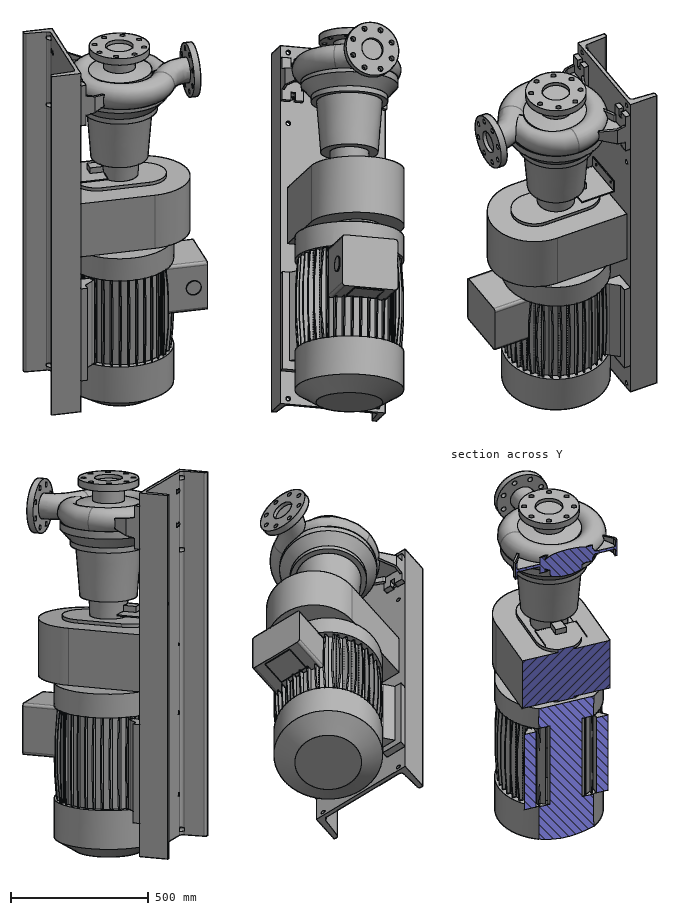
import cadquery as cq
import math

AXIS_Y = 200.0

TOTAL_LENGTH = 1395.0

CHANNEL_LENGTH = 1360.0
CHANNEL_WIDTH = 400.0
CHANNEL_HALF_WIDTH = CHANNEL_WIDTH / 2
CHANNEL_DEPTH = 110.0
WEB_THICKNESS = 14.0
FLANGE_TIP = 18.0
FLANGE_ROOT = 25.0
FLANGE_TIP_FILLET = 8.0
FLANGE_ROOT_FILLET = 14.0
ANCHOR_HOLE_X = 170.0
ANCHOR_HOLE_Z = (21.0, 1067.0, 1336.0)
ANCHOR_HOLE_DIAMETER = 17.0
MOUNT_HOLE_X = 158.0
SPARE_HOLE_X = 140.0
PUMP_HOLE_Z = (1165.0, 1290.0)
PUMP_HOLE_DIAMETER = 15.0
GUARD_HOLE_Z = 715.0
MOTOR_HOLE_Z = (155.0, 460.0)
MOTOR_HOLE_DIAMETER = 14.0
SMALL_HOLE_DIAMETER = 8.0

BOLT_HOLES = 8
BOLT_HOLE_DIAMETER = 18.0
SUCTION_THICKNESS = 27.0
DISCHARGE_THICKNESS = 25.0
BORE_DEPTH = 14.0
SUCTION_TOP = 1356.0
SUCTION_RADIUS = 110.0
SUCTION_BOLT_RADIUS = 90.0
SUCTION_BORE_RADIUS = 50.0
SUCTION_NECK_RADIUS = 59.0
DISCHARGE_Y = 480.0
DISCHARGE_RADIUS = 100.0
DISCHARGE_BOLT_RADIUS = 80.0
DISCHARGE_BORE_RADIUS = 40.0

VOLUTE_Z = 1228.0
TUBE_RADIUS = 47.0
TONGUE_RADIUS = 38.0
SPIRAL_RADIUS = 152.0
SPIRAL_SHIFT_X = 11.0
SPIRAL_SHIFT_Y = 5.0
SPIRAL_START_ANGLE = 180
SPIRAL_END_ANGLE = 360 + 59
TONGUE_CENTRE_RADIUS = 145.0
TONGUE_ANGLE = 70
COVER_NECK_Z = 1272.0
COVER_EDGE_Z = 1262.0
COVER_RADIUS = 119.0

RING_RADIUS = 177.0
RING_TOP = 1195.0
RING_BOTTOM = 1168.0
COLLAR_RADIUS = 140.0
COLLAR_TOP = 1126.0
COLLAR_BOTTOM = 1106.0
BEARING_TOP_RADIUS = 120.0
BEARING_END_RADIUS = 105.0
BEARING_BOTTOM = 915.0
NOSE_TOP_RADIUS = 71.0
NOSE_END_RADIUS = 68.0
NOSE_BOTTOM = 843.0
PUMP_SHAFT_RADIUS = 25.0

FOOT_HEIGHT = 20.0
FOOT_INNER_X = 119.0
FOOT_BOTTOM = 1150.0
FOOT_TOP = 1310.0
FOOT_SLOT_WIDTH = 17.0
FOOT_SLOT_DEPTH = 30.0
SADDLE_SHOULDER_Y = 53.0
SADDLE_TOP_X = 153.0
SADDLE_TOP_Y = 125.0
SADDLE_ARCH_X = 70.0
SADDLE_ARCH_Y = 39.0
SADDLE_RIM = 8.0
SADDLE_WEB = 14.0
SADDLE_BASE_DEPTH = 86.0
SADDLE_TOP_DEPTH = 32.0

STAY_HALF_WIDTH = 81.0
STAY_THICKNESS = 4.0
STAY_BOTTOM = 862.0
STAY_FOOT_TOP = 910.0
STAY_HOLE_X = 56.0
STAY_HOLE_Z = 890.0
LUG_Y = 84.0
LUG_TOP = 889.0
LUG_HALF_WIDTH = 21.0

GUARD_RADIUS = 173.0
GUARD_CENTRE_Y = 287.0
GUARD_BOTTOM = 610.0
GUARD_TOP = 823.0
PLATE_RADIUS = 86.0
PLATE_LOW_Y = 115.0
PLATE_BOTTOM = 603.0
PLATE_TOP = 835.0

MOTOR_RADIUS = 198.0
MOTOR_TOP = 593.0
FINS_TOP = 504.0
FINS_BOTTOM = 158.0
CORE_RADIUS = 177.0
FIN_END_RADIUS = 190.0
FINS_PER_SIDE = 10
FIN_THICKNESS = 4.0
COWL_BOTTOM = 13.0
CONE_BOTTOM = CHANNEL_LENGTH - TOTAL_LENGTH
CONE_RADIUS = 121.0
MOTOR_SHAFT_RADIUS = 30.0
MOTOR_FOOT_BOTTOM = 124.0
MOTOR_FOOT_TOP = 494.0
MOTOR_FOOT_HEIGHT = 25.0
MOTOR_FOOT_INNER_X = 119.0
MOTOR_GUSSET_X = 173.0
MOTOR_SLOPE_X = 145.0
MOTOR_SLOPE_Y = 57.0

BOX_LEFT = -90.0
BOX_WIDTH = 212.0
BOX_BOTTOM = 312.0
BOX_TOP = 505.0
BOX_Y = 500.0
BOX_FILLET = 11.0
GLAND_RADIUS = 28.0
GLAND_Y = 446.0
BLANK_HALF_WIDTH = 56.0
BLANK_LOW_Y = 390.0
BLANK_HIGH_Y = 491.0
ENTRY_THICKNESS = 4.0


def mirrored(points):
    """Close an outline given for X > 0 with its mirror image."""
    return points + [(-x, y) for x, y in reversed(points)]


def z_cylinder(radius, bottom, top):
    return cq.Workplane("XY", origin=(0, AXIS_Y, bottom)).circle(radius).extrude(top - bottom)


def z_prism(points, bottom, top):
    return cq.Workplane("XY", origin=(0, 0, bottom)).polyline(points).close().extrude(top - bottom)


def box(x0, x1, y0, y1, z0, z1):
    return cq.Workplane("XY").box(x1 - x0, y1 - y0, z1 - z0, centered=False).translate((x0, y0, z0))


def turned(profile):
    """Solid of revolution about the shaft line from (radius, z) points."""
    outline = [(0, profile[0][1])] + profile + [(0, profile[-1][1])]
    return (
        cq.Workplane("XZ", origin=(0, AXIS_Y, 0))
        .polyline(outline).close()
        .revolve(360, (0, 0), (0, 1))
    )


def y_holes(places, diameter, depth):
    """Cutters from the mounting face down into the channel, or up for a negative depth."""
    return (
        cq.Workplane("XZ")
        .pushPoints(places).circle(diameter / 2).extrude(depth)
    )


def make_channel():
    w = CHANNEL_HALF_WIDTH
    section = mirrored([
        (w, 0),
        (w, -CHANNEL_DEPTH),
        (w - FLANGE_TIP, -CHANNEL_DEPTH),
        (w - FLANGE_ROOT, -WEB_THICKNESS),
    ])
    channel = z_prism(section, 0, CHANNEL_LENGTH)
    for side in (-1, 1):
        tip = (side * (w - FLANGE_TIP), -CHANNEL_DEPTH, CHANNEL_LENGTH / 2)
        root = (side * (w - FLANGE_ROOT), -WEB_THICKNESS, CHANNEL_LENGTH / 2)
        channel = channel.edges(cq.selectors.NearestToPointSelector(tip)).fillet(FLANGE_TIP_FILLET)
        channel = channel.edges(cq.selectors.NearestToPointSelector(root)).fillet(FLANGE_ROOT_FILLET)

    sides = (-1, 1)
    anchors = [(s * ANCHOR_HOLE_X, z) for s in sides for z in ANCHOR_HOLE_Z]
    pump = [(s * x, z) for s in sides for x in (SPARE_HOLE_X, MOUNT_HOLE_X) for z in PUMP_HOLE_Z]
    motor = [(s * MOUNT_HOLE_X, z) for s in sides for z in MOTOR_HOLE_Z]
    small = [(s * MOUNT_HOLE_X, GUARD_HOLE_Z) for s in sides]
    small += [(s * STAY_HOLE_X, STAY_HOLE_Z) for s in sides]
    for places, diameter in (
        (anchors, ANCHOR_HOLE_DIAMETER),
        (pump, PUMP_HOLE_DIAMETER),
        (motor, MOTOR_HOLE_DIAMETER),
        (small, SMALL_HOLE_DIAMETER),
    ):
        channel = channel.cut(y_holes(places, diameter, WEB_THICKNESS + FLANGE_ROOT_FILLET))
    return channel


def pipe_flange(plane, radius, thickness, bolt_radius):
    """Drilled disc whose outer face lies on the plane and whose body lies behind it."""
    half_step = 180 / BOLT_HOLES
    disc = cq.Workplane(plane).circle(radius).extrude(-thickness)
    holes = (
        cq.Workplane(plane)
        .polarArray(bolt_radius, half_step, 360, BOLT_HOLES)
        .circle(BOLT_HOLE_DIAMETER / 2).extrude(-thickness)
    )
    return disc.cut(holes)


def spiral_point(degrees):
    angle = math.radians(degrees)
    return cq.Vector(
        SPIRAL_SHIFT_X + SPIRAL_RADIUS * math.cos(angle),
        AXIS_Y + SPIRAL_SHIFT_Y + SPIRAL_RADIUS * math.sin(angle),
        VOLUTE_Z,
    )


def spiral_heading(degrees):
    angle = math.radians(degrees)
    return cq.Vector(-math.sin(angle), math.cos(angle), 0)


def section_plane(path, position):
    """Plane square to an edge at a fraction of its length, with its x axis horizontal."""
    heading = path.tangentAt(position)
    return cq.Plane(path.positionAt(position), xDir=heading.cross(cq.Vector(0, 0, 1)), normal=heading)


def tube(path, start_radius, end_radius):
    """Round tube along an edge; its radius changes evenly when the two ends differ."""
    spine = cq.Workplane(cq.Wire.assembleEdges([path]))
    first = cq.Workplane(section_plane(path, 0)).circle(start_radius)
    if start_radius == end_radius:
        return first.sweep(spine)
    last = cq.Workplane(section_plane(path, 1)).circle(end_radius)
    return first.add(last.ctx.pendingWires).toPending().sweep(spine, multisection=True)


def make_volute():
    start_angle = SPIRAL_START_ANGLE
    end_angle = SPIRAL_END_ANGLE
    middle_angle = (start_angle + end_angle) / 2
    spiral = cq.Edge.makeThreePointArc(
        spiral_point(start_angle), spiral_point(middle_angle), spiral_point(end_angle)
    )
    outlet_end = cq.Vector(0, DISCHARGE_Y - DISCHARGE_THICKNESS, VOLUTE_Z)
    outlet = cq.Edge.makeSpline(
        [spiral_point(end_angle), outlet_end],
        tangents=[spiral_heading(end_angle), cq.Vector(0, 1, 0)],
    )
    tongue_angle = math.radians(TONGUE_ANGLE)
    tongue_end = cq.Vector(
        TONGUE_CENTRE_RADIUS * math.cos(tongue_angle),
        AXIS_Y + TONGUE_CENTRE_RADIUS * math.sin(tongue_angle),
        VOLUTE_Z,
    )
    tongue = cq.Edge.makeTangentArc(
        spiral_point(start_angle), spiral_heading(start_angle) * -1, tongue_end
    )
    volute = tube(spiral, TUBE_RADIUS, TUBE_RADIUS)
    volute = volute.union(tube(outlet, TUBE_RADIUS, TUBE_RADIUS))
    return volute.union(tube(tongue, TUBE_RADIUS, TONGUE_RADIUS))


def make_casing():
    return turned([
        (SUCTION_NECK_RADIUS, SUCTION_TOP - SUCTION_THICKNESS),
        (SUCTION_NECK_RADIUS, COVER_NECK_Z),
        (COVER_RADIUS, COVER_EDGE_Z),
        (COVER_RADIUS, RING_TOP),
        (RING_RADIUS, RING_TOP),
        (RING_RADIUS, RING_BOTTOM),
        (COLLAR_RADIUS, COLLAR_TOP),
        (COLLAR_RADIUS, COLLAR_BOTTOM),
        (BEARING_TOP_RADIUS, COLLAR_BOTTOM),
        (BEARING_END_RADIUS, BEARING_BOTTOM),
        (NOSE_TOP_RADIUS, BEARING_BOTTOM),
        (NOSE_END_RADIUS, NOSE_BOTTOM),
        (PUMP_SHAFT_RADIUS, NOSE_BOTTOM),
        (PUMP_SHAFT_RADIUS, PLATE_TOP),
    ])


def make_pump_feet():
    """Two slotted pads joined by a rimmed saddle that narrows toward the volute."""
    outer = mirrored([
        (SADDLE_TOP_X, SADDLE_TOP_Y),
        (CHANNEL_HALF_WIDTH, SADDLE_SHOULDER_Y),
        (CHANNEL_HALF_WIDTH, 0),
        (FOOT_INNER_X, 0),
        (FOOT_INNER_X, FOOT_HEIGHT),
        (SADDLE_ARCH_X, SADDLE_ARCH_Y),
    ])
    saddle = z_prism(outer, FOOT_BOTTOM, FOOT_TOP)
    pocket = (
        cq.Workplane("XY", origin=(0, 0, FOOT_BOTTOM))
        .polyline(outer).close().offset2D(-SADDLE_RIM).extrude(FOOT_TOP - FOOT_BOTTOM)
    )
    web = box(
        -CHANNEL_HALF_WIDTH, CHANNEL_HALF_WIDTH, 0, SADDLE_TOP_Y,
        VOLUTE_Z - SADDLE_WEB / 2, VOLUTE_Z + SADDLE_WEB / 2,
    )
    taper = (
        cq.Workplane("YZ", origin=(-CHANNEL_HALF_WIDTH, 0, VOLUTE_Z))
        .polyline([
            (0, -SADDLE_BASE_DEPTH / 2),
            (SADDLE_TOP_Y, -SADDLE_TOP_DEPTH / 2),
            (SADDLE_TOP_Y, SADDLE_TOP_DEPTH / 2),
            (0, SADDLE_BASE_DEPTH / 2),
        ]).close().extrude(2 * CHANNEL_HALF_WIDTH)
    )
    feet = saddle.cut(pocket.cut(web)).intersect(taper)
    half_slot = FOOT_SLOT_WIDTH / 2
    for side in (-1, 1):
        x0, x1 = sorted((side * FOOT_INNER_X, side * CHANNEL_HALF_WIDTH))
        pad = box(x0, x1, 0, FOOT_HEIGHT, FOOT_BOTTOM, FOOT_TOP)
        slot_x = side * MOUNT_HOLE_X
        for z0, z1 in (
            (FOOT_BOTTOM, FOOT_BOTTOM + FOOT_SLOT_DEPTH),
            (FOOT_TOP - FOOT_SLOT_DEPTH, FOOT_TOP),
        ):
            pad = pad.cut(box(slot_x - half_slot, slot_x + half_slot, 0, FOOT_HEIGHT, z0, z1))
        feet = feet.union(pad)
    return feet


def make_stay():
    """Thin angle bracket from the channel to a lug under the nose."""
    w = STAY_HALF_WIDTH
    foot = box(-w, w, 0, STAY_THICKNESS, STAY_BOTTOM, STAY_FOOT_TOP)
    holes = y_holes([(-STAY_HOLE_X, STAY_HOLE_Z), (STAY_HOLE_X, STAY_HOLE_Z)],
                    SMALL_HOLE_DIAMETER, -STAY_THICKNESS)
    shelf = box(-w, w, 0, AXIS_Y - NOSE_END_RADIUS + STAY_THICKNESS,
                STAY_BOTTOM, STAY_BOTTOM + STAY_THICKNESS)
    lug = box(-LUG_HALF_WIDTH, LUG_HALF_WIDTH, LUG_Y, AXIS_Y, STAY_BOTTOM, LUG_TOP)
    return foot.cut(holes).union(shelf).union(lug)


def make_pump():
    suction_face = cq.Plane((0, AXIS_Y, SUCTION_TOP), xDir=(1, 0, 0), normal=(0, 0, 1))
    discharge_face = cq.Plane((0, DISCHARGE_Y, VOLUTE_Z), xDir=(1, 0, 0), normal=(0, 1, 0))
    pump = make_casing().union(make_volute()).union(make_pump_feet()).union(make_stay())
    pump = pump.union(pipe_flange(suction_face, SUCTION_RADIUS, SUCTION_THICKNESS, SUCTION_BOLT_RADIUS))
    pump = pump.union(
        pipe_flange(discharge_face, DISCHARGE_RADIUS, DISCHARGE_THICKNESS, DISCHARGE_BOLT_RADIUS)
    )
    for plane, bore in ((suction_face, SUCTION_BORE_RADIUS), (discharge_face, DISCHARGE_BORE_RADIUS)):
        pump = pump.cut(cq.Workplane(plane).circle(bore).extrude(-BORE_DEPTH))
    return pump


def make_guard():
    guard = (
        cq.Workplane("XY", origin=(0, 0, GUARD_BOTTOM))
        .moveTo(-GUARD_RADIUS, 0)
        .lineTo(GUARD_RADIUS, 0)
        .lineTo(GUARD_RADIUS, GUARD_CENTRE_Y)
        .threePointArc((0, GUARD_CENTRE_Y + GUARD_RADIUS), (-GUARD_RADIUS, GUARD_CENTRE_Y))
        .close().extrude(GUARD_TOP - GUARD_BOTTOM)
    )
    plate_length = GUARD_CENTRE_Y - PLATE_LOW_Y + 2 * PLATE_RADIUS
    plates = (
        cq.Workplane("XY", origin=(0, (GUARD_CENTRE_Y + PLATE_LOW_Y) / 2, PLATE_BOTTOM))
        .slot2D(plate_length, 2 * PLATE_RADIUS, 90).extrude(PLATE_TOP - PLATE_BOTTOM)
    )
    return guard.union(plates)


def make_fin_barrel():
    """Core with thin fins, which run along X on the two sides and along Y above and below."""
    middle_z = (FINS_BOTTOM + FINS_TOP) / 2
    envelope = (
        cq.Workplane("XZ", origin=(0, AXIS_Y, 0))
        .moveTo(0, FINS_BOTTOM)
        .lineTo(FIN_END_RADIUS, FINS_BOTTOM)
        .threePointArc((MOTOR_RADIUS, middle_z), (FIN_END_RADIUS, FINS_TOP))
        .lineTo(0, FINS_TOP)
        .close().revolve(360, (0, 0), (0, 1))
    )
    step = 90 / FINS_PER_SIDE
    fins = z_cylinder(CORE_RADIUS, FINS_BOTTOM, FINS_TOP)
    for i in range(FINS_PER_SIDE // 2):
        offset = MOTOR_RADIUS * math.sin(math.radians((i + 0.5) * step))
        for y in (-offset, offset):
            blade = (
                cq.Workplane("XY", origin=(0, AXIS_Y, middle_z))
                .center(0, y).box(2 * MOTOR_RADIUS, FIN_THICKNESS, FINS_TOP - FINS_BOTTOM)
            )
            fins = fins.union(blade)
            fins = fins.union(blade.rotate((0, AXIS_Y, 0), (0, AXIS_Y, 1), 90))
    return fins.intersect(envelope)


def make_motor_foot(side):
    pad = z_prism(
        [
            (side * MOTOR_FOOT_INNER_X, 0),
            (side * CHANNEL_HALF_WIDTH, 0),
            (side * CHANNEL_HALF_WIDTH, MOTOR_FOOT_HEIGHT),
            (side * MOTOR_FOOT_INNER_X, MOTOR_FOOT_HEIGHT),
        ],
        MOTOR_FOOT_BOTTOM, MOTOR_FOOT_TOP,
    )
    gusset = z_prism(
        [
            (side * MOTOR_FOOT_INNER_X, MOTOR_FOOT_HEIGHT),
            (side * MOTOR_GUSSET_X, MOTOR_FOOT_HEIGHT),
            (side * MOTOR_SLOPE_X, MOTOR_SLOPE_Y),
            (side * MOTOR_FOOT_INNER_X, MOTOR_SLOPE_Y + MOTOR_FOOT_HEIGHT),
        ],
        FINS_BOTTOM, MOTOR_FOOT_TOP,
    )
    return pad.union(gusset)


def make_terminal_box():
    right = BOX_LEFT + BOX_WIDTH
    middle_z = (BOX_BOTTOM + BOX_TOP) / 2
    body = box(BOX_LEFT, right, AXIS_Y, BOX_Y, BOX_BOTTOM, BOX_TOP).edges("|Y").fillet(BOX_FILLET)
    gland = (
        cq.Workplane("YZ", origin=(right, GLAND_Y, middle_z))
        .circle(GLAND_RADIUS).extrude(ENTRY_THICKNESS)
    )
    middle_x = BOX_LEFT + BOX_WIDTH / 2
    blank = box(
        middle_x - BLANK_HALF_WIDTH, middle_x + BLANK_HALF_WIDTH,
        BLANK_LOW_Y, BLANK_HIGH_Y,
        BOX_BOTTOM - ENTRY_THICKNESS, BOX_BOTTOM,
    )
    return body.union(gland).union(blank)


def make_motor():
    motor = make_fin_barrel()
    motor = motor.union(turned([
        (MOTOR_SHAFT_RADIUS, PLATE_BOTTOM),
        (MOTOR_SHAFT_RADIUS, MOTOR_TOP),
        (MOTOR_RADIUS, MOTOR_TOP),
        (MOTOR_RADIUS, FINS_TOP),
    ]))
    motor = motor.union(turned([
        (MOTOR_RADIUS, FINS_BOTTOM),
        (MOTOR_RADIUS, COWL_BOTTOM),
        (CONE_RADIUS, CONE_BOTTOM),
    ]))
    for side in (-1, 1):
        motor = motor.union(make_motor_foot(side))
    return motor.union(make_terminal_box())


channel = make_channel()
pump = make_pump()
guard = make_guard()
motor = make_motor()

result = cq.Compound.makeCompound([
    channel.solids().val(),
    pump.solids().val(),
    guard.solids().val(),
    motor.solids().val(),
])